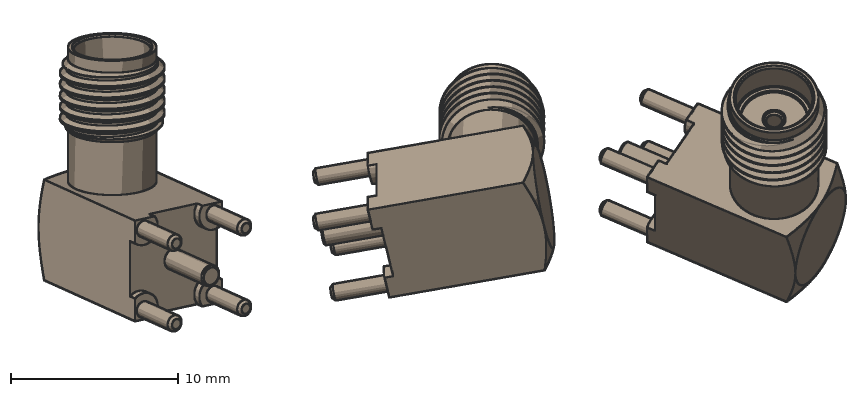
import cadquery as cq
import math


total_length = 13.5
total_height = 14.8
block_size = 6.35
half_block = block_size / 2
block_left = -half_block
pin_end = block_left + total_length

feet_face = block_left + 10.1
foot_height = 0.53
recess_face = feet_face - foot_height
foot_radius = 1.02

end_circle_inset = 0.01
end_circle_radius = half_block - end_circle_inset
end_corner_radius = half_block * math.sqrt(2)
end_chamfer_depth = 0.6
corner_clearance = 0.15

pin_spacing = 5.08
ground_pin_radius = foot_radius / 2
ground_tip_chamfer = 0.19
contact_pin_radius = 0.65
contact_tip_chamfer = 0.1

barrel_radius = 2.65
root_radius = 2.75
crest_radius = 3.14
thread_bottom = 9.68
thread_top = 14.06
pitch = 0.71
crest_width = 0.09
flank_angle = 30.0
crest_height_at_x = 10.57
crest_clearance = 0.15
root_overlap = 0.05

socket_radius = 2.3
mouth_chamfer = 0.12
shoulder_depth = 1.9
shoulder_bevel = 0.06
floor_radius = 2.0
floor_depth = 2.09
contact_recess_radius = 0.68
contact_recess_depth = 0.07
countersink_radius = 0.6
contact_hole_radius = 0.47
contact_hole_depth = 2.07
drill_tip_angle = 59.0


def make_block():
    """Square block up to the recess, with its free end trimmed by a cone."""
    block = (
        cq.Workplane("YZ", origin=(block_left, 0, half_block))
        .rect(block_size, block_size)
        .extrude(recess_face - block_left)
    )
    slope = (end_corner_radius - end_circle_radius) / end_chamfer_depth
    cone_depth = end_chamfer_depth + corner_clearance
    outer_radius = end_circle_radius + slope * cone_depth
    trim = (
        cq.Workplane("XY", origin=(block_left, 0, half_block))
        .moveTo(0, 0)
        .lineTo(0, end_circle_radius)
        .lineTo(cone_depth, outer_radius)
        .lineTo(total_length, outer_radius)
        .lineTo(total_length, 0)
        .close()
        .revolve(360, (0, 0, 0), (1, 0, 0))
    )
    return block.intersect(trim)


def make_feet():
    """Round standoffs around the ground pins, cut flush with the block sides."""
    discs = (
        cq.Workplane("YZ", origin=(recess_face, 0, half_block))
        .rect(pin_spacing, pin_spacing, forConstruction=True)
        .vertices()
        .circle(foot_radius)
        .extrude(foot_height)
    )
    block_outline = (
        cq.Workplane("YZ", origin=(recess_face, 0, half_block))
        .rect(block_size, block_size)
        .extrude(foot_height)
    )
    return discs.intersect(block_outline)


def make_pin(y, z, radius, tip_chamfer):
    """Pin along X from the recess face to the pin end, with a chamfered tip."""
    return (
        cq.Workplane("YZ", origin=(recess_face, y, z))
        .circle(radius)
        .extrude(pin_end - recess_face)
        .faces(">X")
        .chamfer(tip_chamfer)
    )


def make_barrel():
    """Plain barrel from the middle of the block to the mouth."""
    return (
        cq.Workplane("XY", origin=(0, 0, half_block))
        .circle(barrel_radius)
        .extrude(total_height - half_block)
    )


def revolve_half_section(points):
    """Revolve (radius, height) points around the barrel axis."""
    return cq.Workplane("XZ").polyline(points).close().revolve(360, (0, 0, 0), (0, 1, 0))


def make_thread_envelope():
    """Solid that bounds the threaded length, with 45 degree ends that run down to the barrel."""
    bevelled_radius = crest_radius + crest_clearance
    bevel = bevelled_radius - barrel_radius
    return revolve_half_section([
        (0, thread_bottom),
        (barrel_radius, thread_bottom),
        (bevelled_radius, thread_bottom + bevel),
        (bevelled_radius, thread_top - bevel),
        (barrel_radius, thread_top),
        (0, thread_top),
    ])


def make_thread():
    """Root cylinder with a right-handed helical ridge, trimmed to bevelled ends."""
    base_radius = root_radius - root_overlap
    half_crest = crest_width / 2
    half_base = half_crest + (crest_radius - base_radius) * math.tan(math.radians(flank_angle))
    start = crest_height_at_x - 2 * pitch
    turns = math.ceil((thread_top - start) / pitch) + 1
    path = cq.Wire.makeHelix(pitch, turns * pitch, base_radius, center=cq.Vector(0, 0, start))
    ridge = (
        cq.Workplane("XZ")
        .polyline([
            (base_radius, start - half_base),
            (crest_radius, start - half_crest),
            (crest_radius, start + half_crest),
            (base_radius, start + half_base),
        ])
        .close()
        .sweep(cq.Workplane(path), isFrenet=True)
    )
    root = (
        cq.Workplane("XY", origin=(0, 0, thread_bottom - pitch))
        .circle(root_radius)
        .extrude(thread_top - thread_bottom + 2 * pitch)
    )
    return root.union(ridge).intersect(make_thread_envelope())


def make_socket():
    """Stepped socket with a countersunk, drill-pointed hole in the sunken contact."""
    shoulder = total_height - shoulder_depth
    floor = total_height - floor_depth
    contact_face = floor - contact_recess_depth
    countersink_depth = countersink_radius - contact_hole_radius
    hole_bottom = floor - contact_hole_depth
    drill_tip = contact_hole_radius / math.tan(math.radians(drill_tip_angle))
    return revolve_half_section([
        (0, total_height),
        (socket_radius + mouth_chamfer, total_height),
        (socket_radius, total_height - mouth_chamfer),
        (socket_radius, shoulder + shoulder_bevel),
        (socket_radius - shoulder_bevel, shoulder),
        (floor_radius, shoulder),
        (floor_radius, floor),
        (contact_recess_radius, floor),
        (contact_recess_radius, contact_face),
        (countersink_radius, contact_face),
        (contact_hole_radius, contact_face - countersink_depth),
        (contact_hole_radius, hole_bottom),
        (0, hole_bottom - drill_tip),
    ])


body = make_block().union(make_feet()).union(make_barrel()).union(make_thread())

for y_side in (-1, 1):
    for z_side in (-1, 1):
        pin_y = y_side * pin_spacing / 2
        pin_z = half_block + z_side * pin_spacing / 2
        body = body.union(make_pin(pin_y, pin_z, ground_pin_radius, ground_tip_chamfer))
body = body.union(make_pin(0, half_block, contact_pin_radius, contact_tip_chamfer))

result = body.cut(make_socket())